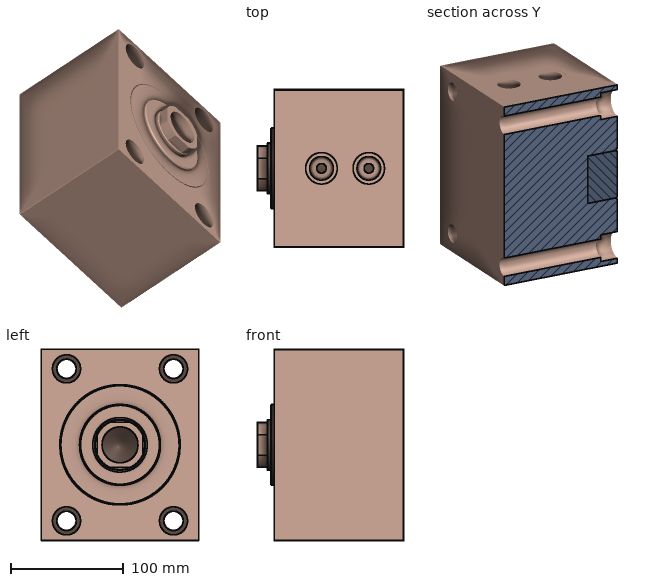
import cadquery as cq
import math


block_length = 115.0
block_width = 140.0
block_height = 170.0
edge_chamfer = 0.5

bolt_spacing_y = 95.0
bolt_spacing_z = 135.0
bolt_hole_diameter = 17.0
bolt_head_diameter = 25.0
bolt_head_depth = 17.0

port_positions = (42.0, 84.0)
port_seat_diameter = 28.0
port_seat_depth = 0.1
port_diameter = 21.0
port_depth = 13.0
passage_diameter = 8.5

gland_diameter = 105.0
gland_depth = 30.0
gland_seat_chamfer = 1.0
collar_diameter = 72.0
collar_projection = 3.0
collar_chamfer = 1.0
wiper_recess_diameter = 48.5
wiper_recess_depth = 1.0

rod_diameter = 45.0
rod_end_depth = 60.0
shoulder_projection = 6.0
nose_projection = 15.0
nose_diameter = 44.0
flats_width = 40.0
socket_diameter = 32.0
socket_depth = 40.0
socket_tip_angle = 118.0


def cylinder_x(diameter, start, end):
    """Cylinder on the rod axis between two X positions."""
    return cq.Workplane("YZ", origin=(start, 0, 0)).circle(diameter / 2).extrude(end - start)


def cone_x(start_diameter, end_diameter, start, end):
    """Cone or truncated cone on the rod axis between two X positions."""
    height = end - start
    solid = cq.Solid.makeCone(
        start_diameter / 2,
        end_diameter / 2,
        height,
        pnt=cq.Vector(start, 0, 0),
        dir=cq.Vector(1, 0, 0),
    )
    return cq.Workplane(obj=solid)


def drill_from_top(x, diameter, floor_z):
    """Vertical cutter from the top face down to floor_z."""
    top_z = block_height / 2
    return cq.Workplane("XY", origin=(x, 0, floor_z)).circle(diameter / 2).extrude(top_z - floor_z)


def make_housing():
    body = cq.Workplane("YZ").rect(block_width, block_height).extrude(block_length)
    body = body.edges("|X").chamfer(edge_chamfer)

    body = (
        body.faces("<X")
        .workplane(origin=(0, 0, 0))
        .rect(bolt_spacing_y, bolt_spacing_z, forConstruction=True)
        .vertices()
        .cboreHole(bolt_hole_diameter, bolt_head_diameter, bolt_head_depth)
    )

    top_z = block_height / 2
    rod_axis_z = 0
    for x in port_positions:
        body = body.cut(drill_from_top(x, port_seat_diameter, top_z - port_seat_depth))
        body = body.cut(drill_from_top(x, port_diameter, top_z - port_depth))
        body = body.cut(drill_from_top(x, passage_diameter, rod_axis_z))

    seat_mouth_diameter = gland_diameter + 2 * gland_seat_chamfer
    body = body.cut(cylinder_x(gland_diameter, 0, gland_depth))
    body = body.cut(cone_x(seat_mouth_diameter, gland_diameter, 0, gland_seat_chamfer))
    return body.cut(cylinder_x(rod_diameter, 0, rod_end_depth))


def make_gland():
    collar = cylinder_x(collar_diameter, -collar_projection, 0)
    collar = collar.faces("<X").edges().chamfer(collar_chamfer)
    body = cylinder_x(gland_diameter, 0, gland_depth).union(collar)
    body = body.cut(cylinder_x(rod_diameter, -collar_projection, gland_depth))
    recess_floor = wiper_recess_depth - collar_projection
    return body.cut(cylinder_x(wiper_recess_diameter, -collar_projection, recess_floor))


def make_rod():
    shaft = cylinder_x(rod_diameter, -shoulder_projection, rod_end_depth)
    shaft = shaft.faces("<X").chamfer((rod_diameter - nose_diameter) / 2)

    nose = cylinder_x(nose_diameter, -nose_projection, -shoulder_projection)
    square = (
        cq.Workplane("YZ", origin=(-nose_projection, 0, 0))
        .rect(flats_width, flats_width)
        .extrude(nose_projection - shoulder_projection)
    )
    body = shaft.union(nose.intersect(square))

    socket_floor = socket_depth - nose_projection
    tip_height = socket_diameter / 2 / math.tan(math.radians(socket_tip_angle / 2))
    body = body.cut(cylinder_x(socket_diameter, -nose_projection, socket_floor))
    return body.cut(cone_x(socket_diameter, 0, socket_floor, socket_floor + tip_height))


housing = make_housing()
gland = make_gland()
rod = make_rod()

result = cq.Compound.makeCompound([housing.val(), gland.val(), rod.val()])